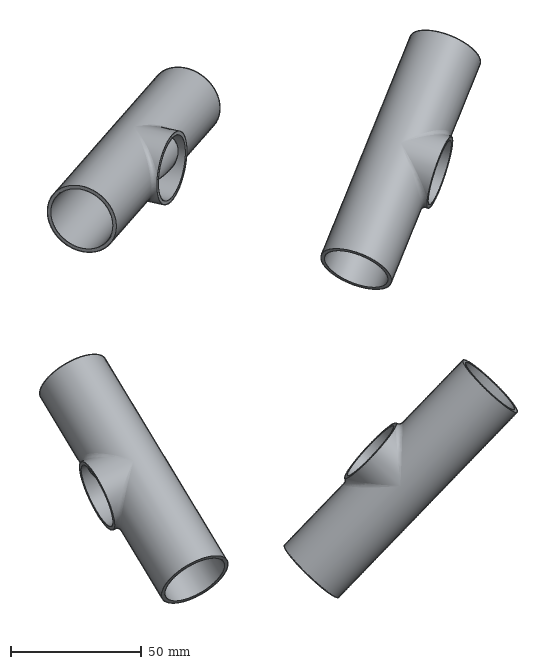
import cadquery as cq

outer_diameter = 29.0
wall_thickness = 1.5
run_length = 100.0
branch_reach = 16.0
saddle_fillet = 2.0

outer_radius = outer_diameter / 2
bore_radius = outer_radius - wall_thickness
untrimmed_reach = 2 * branch_reach


def run_cylinder(radius):
    """Cylinder along Y, centred on the origin."""
    return cq.Workplane("XZ").circle(radius).extrude(run_length / 2, both=True)


def branch_cylinder(radius, reach):
    """Cylinder along +X, starting on the run axis."""
    return cq.Workplane("YZ").circle(radius).extrude(reach)


def outer_body():
    """Solid tee, blended at the saddle and trimmed at the branch end."""
    body = run_cylinder(outer_radius).union(branch_cylinder(outer_radius, untrimmed_reach))

    body = body.edges("%ELLIPSE").fillet(saddle_fillet)

    branch_limit = cq.Workplane("XY").box(2 * branch_reach, run_length, outer_diameter)
    return body.intersect(branch_limit)


def bores():
    """Through bore of the run joined with the equal bore of the branch."""
    return run_cylinder(bore_radius).union(branch_cylinder(bore_radius, branch_reach))


result = outer_body().cut(bores())